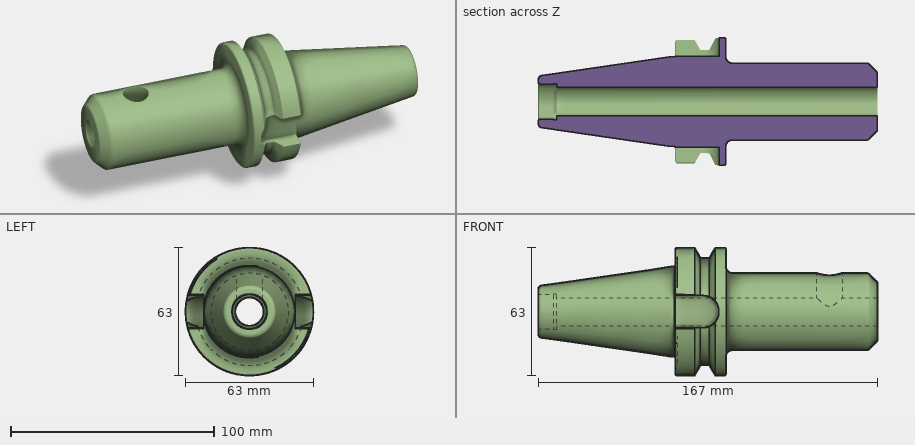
import cadquery as cq
import math


gauge_radius = 44.45 / 2
taper_length = 65.4
taper_slope = 7 / 24 / 2
small_end_radius = gauge_radius - taper_length * taper_slope
small_end_fillet = 2.0

flange_radius = 63.0 / 2
flange_start = 2.0
flange_end = 27.0
flange_edge_fillet = 1.0
flange_root_fillet = 0.5
groove_centre = 16.6
groove_floor_width = 4.4
groove_depth = 5.0
groove_side_run = groove_depth * math.tan(math.radians(30))

shank_radius = 38.1 / 2
shank_end = 101.6
shank_chamfer = 4.75
shank_end_fillet = 2.0
shank_root_fillet = 3.0

slot_width = 15.88
slot_end = 23.5
slot_floor = 22.5
slot_edge_chamfer = 0.5

through_bore_radius = 13.84 / 2
pilot_radius = 17.0 / 2
pilot_depth = 9.0
relief_radius = 17.5 / 2
relief_width = 1.5
pilot_mouth_fillet = 1.0

side_hole_diameter = 12.75
side_hole_x = 77.8


def revolve_about_x(profile):
    return profile.close().revolve(360, (0, 0, 0), (1, 0, 0))


def circular_edges(body, x, radius):
    """Edges of the revolved body that are circles of this radius at station x."""
    tolerance = 0.01
    return body.edges("%CIRCLE").filter(
        lambda edge: abs(edge.Center().x - x) < tolerance and abs(edge.radius() - radius) < tolerance
    )


def make_body():
    groove_floor_radius = flange_radius - groove_depth
    groove_floor_start = groove_centre - groove_floor_width / 2
    groove_floor_end = groove_centre + groove_floor_width / 2
    shank_tip_radius = shank_radius - shank_chamfer
    body = revolve_about_x(
        cq.Workplane("XY")
        .moveTo(-taper_length, 0)
        .lineTo(-taper_length, small_end_radius)
        .lineTo(0, gauge_radius)
        .lineTo(flange_start, gauge_radius)
        .lineTo(flange_start, flange_radius)
        .lineTo(groove_floor_start - groove_side_run, flange_radius)
        .lineTo(groove_floor_start, groove_floor_radius)
        .lineTo(groove_floor_end, groove_floor_radius)
        .lineTo(groove_floor_end + groove_side_run, flange_radius)
        .lineTo(flange_end, flange_radius)
        .lineTo(flange_end, shank_radius)
        .lineTo(shank_end - shank_chamfer, shank_radius)
        .lineTo(shank_end, shank_tip_radius)
        .lineTo(shank_end, 0)
    )
    rounded_corners = [
        (-taper_length, small_end_radius, small_end_fillet),
        (flange_start, gauge_radius, flange_root_fillet),
        (flange_start, flange_radius, flange_edge_fillet),
        (flange_end, flange_radius, flange_edge_fillet),
        (flange_end, shank_radius, shank_root_fillet),
        (shank_end - shank_chamfer, shank_radius, shank_end_fillet),
        (shank_end, shank_tip_radius, shank_end_fillet),
    ]
    for x, radius, fillet in rounded_corners:
        body = circular_edges(body, x, radius).fillet(fillet)
    return body


def make_bore():
    mouth_x = -taper_length
    mouth_radius = pilot_radius + pilot_mouth_fillet
    floor_x = mouth_x + pilot_depth
    relief_x = floor_x - relief_width
    return revolve_about_x(
        cq.Workplane("XY")
        .moveTo(mouth_x, 0)
        .lineTo(mouth_x, mouth_radius)
        .radiusArc((mouth_x + pilot_mouth_fillet, pilot_radius), -pilot_mouth_fillet)
        .lineTo(relief_x, pilot_radius)
        .lineTo(relief_x, relief_radius)
        .lineTo(floor_x, relief_radius)
        .lineTo(floor_x, through_bore_radius)
        .lineTo(shank_end, through_bore_radius)
        .lineTo(shank_end, 0)
    )


def make_slot(side):
    """Round-ended drive slot; side is -1 or +1 along Y."""
    half_width = slot_width / 2
    arc_centre = slot_end - half_width
    slot_start = flange_start - flange_root_fillet
    return (
        cq.Workplane("XZ", origin=(0, side * slot_floor, 0))
        .moveTo(slot_start, -half_width)
        .lineTo(arc_centre, -half_width)
        .threePointArc((slot_end, 0), (arc_centre, half_width))
        .lineTo(slot_start, half_width)
        .close()
        .extrude(-side * (flange_radius - slot_floor))
    )


def make_side_hole():
    return (
        cq.Workplane("XY")
        .center(side_hole_x, 0)
        .circle(side_hole_diameter / 2)
        .extrude(shank_radius)
    )


def chamfer_slot_mouths(body):
    """Break the straight slot edges on the front face and rim of the front flange."""
    half_width = slot_width / 2
    front_flange_end = groove_centre - groove_floor_width / 2 - groove_side_run
    tolerance = 0.01

    def on_slot_mouth(edge):
        box = edge.BoundingBox()
        on_wall = abs(abs(edge.Center().z) - half_width) < tolerance and box.zlen < tolerance
        on_front_flange = box.xmin > flange_start - tolerance and box.xmax < front_flange_end + tolerance
        above_floor = max(abs(box.ymin), abs(box.ymax)) > slot_floor + tolerance
        return on_wall and on_front_flange and above_floor

    return body.edges().filter(on_slot_mouth).chamfer(slot_edge_chamfer)


result = make_body().cut(make_bore()).cut(make_side_hole())
for side in (-1, 1):
    result = result.cut(make_slot(side))
result = chamfer_slot_mouths(result)